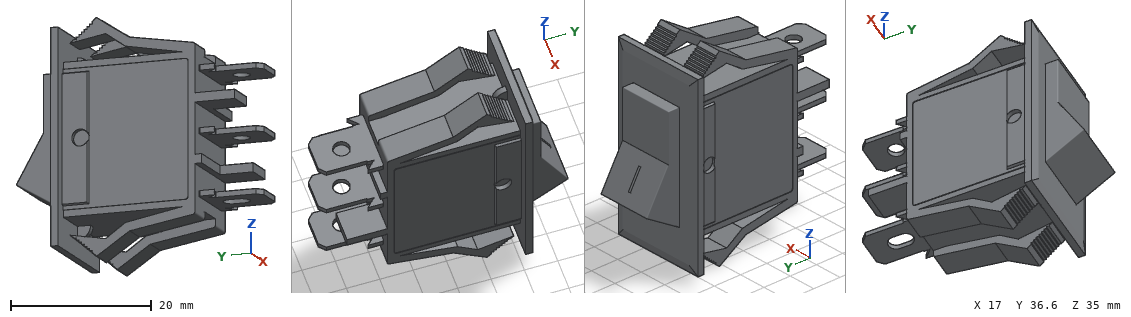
import cadquery as cq
import math


overall_length = 36.58
overall_height = 35.0

flange_width = 17.0
flange_height = 32.0
flange_thickness = 1.5
flange_rim_thickness = 1.1
flange_bevel_width = 1.43

body_width = 12.45
body_height = 22.68
body_depth = 19.95

panel_rise = 0.1
panel_height = 20.63
panel_length = 18.9
panel_corner_radius = 0.4

boss_rise = 0.48
boss_height = 19.55
boss_length = 3.95
boss_taper = 0.22
pivot_diameter = 2.5
pivot_y = -2.7
pivot_depth = 0.73

arm_gap = 4.4
arm_back_z = 12.55
arm_back_radius = 0.4
arm_outer_bend = (-10.05, 14.2)
arm_peak = (-5.0, overall_height / 2)
arm_tip = (-1.0, 14.05)
arm_inner_tip_bend = (-6.4, 15.0)
arm_inner_bend = (-9.4, 12.9)
arm_root = (-17.95, body_height / 2)
tooth_count = 7
tooth_pitch = 0.4
first_tooth_offset = 0.55

lug_diameter = 4.0
lug_radius = lug_diameter / 2
lug_width = 1.0

barrier_z = 4.5
barrier_thickness = 1.35
barrier_long_reach = 6.05
barrier_short_reach = 1.02
barrier_step_x = 1.3

rocker_width = 9.88
rocker_height = 20.4
rocker_flat_y = 3.55
rocker_crease_z = 1.6
rocker_tip_y = 7.7
rocker_tip_z = -5.65
rocker_edge_radius = 0.15

upper_face_angle = math.atan2(rocker_crease_z - rocker_tip_z, rocker_tip_y - rocker_flat_y)
lower_face_angle = math.atan2(rocker_tip_z + rocker_height / 2, rocker_tip_y)
tip_half_angle = (upper_face_angle + lower_face_angle) / 2
tip_tilt = (upper_face_angle - lower_face_angle) / 2
tip_rounding_loss = rocker_edge_radius * (math.cos(tip_tilt) / math.sin(tip_half_angle) - 1)
rocker_reach = rocker_tip_y - tip_rounding_loss

mark_length = 4.0
mark_width = 0.4
mark_depth = 0.3

terminal_pitch = 9.2
terminal_thickness = 0.8
terminal_end_y = rocker_reach - overall_length
blade_half_width = 3.15
blade_end_half_width = 2.2
blade_chamfer_y = -28.05
root_half_width = 4.72
root_chamfer = 0.2
barb_tip_y = -22.35
barb_notch_half_width = 3.33
barb_notch_y = -21.0
neck_y = -22.0
terminal_hole_diameter = 2.5
terminal_hole_y = -24.73
slot_length = 4.0


def prism_along_x(points, width, center_x=0):
    """Solid with a (y, z) outline, centred on center_x."""
    return cq.Workplane("YZ", origin=(center_x, 0, 0)).polyline(points).close().extrude(width / 2, both=True)


def both_sides(solid, plane):
    """The solid joined with its mirror image across the plane."""
    return solid.union(solid.mirror(plane))


def make_flange():
    rim = cq.Workplane("XZ").rect(flange_width, flange_height).extrude(-flange_rim_thickness)
    bevel = (
        cq.Workplane("XZ", origin=(0, flange_rim_thickness, 0))
        .rect(flange_width, flange_height)
        .workplane(offset=flange_rim_thickness - flange_thickness)
        .rect(flange_width - 2 * flange_bevel_width, flange_height - 2 * flange_bevel_width)
        .loft(ruled=True)
    )
    return rim.union(bevel)


def make_side_panels():
    """One slab through the body that stands proud on both sides."""
    return (
        cq.Workplane("XY")
        .box(body_width + 2 * panel_rise, panel_length, panel_height)
        .translate((0, -panel_length / 2, 0))
        .edges("|X and <Y")
        .fillet(panel_corner_radius)
    )


def make_boss():
    outer_length = boss_length - boss_taper
    outer_height = boss_height - 2 * boss_taper
    return (
        cq.Workplane("YZ", origin=(body_width / 2, 0, 0))
        .center(-boss_length / 2, 0)
        .rect(boss_length, boss_height)
        .workplane(offset=boss_rise)
        .center(boss_taper / 2, 0)
        .rect(outer_length, outer_height)
        .loft(ruled=True)
    )


def make_pivot_recess():
    return (
        cq.Workplane("YZ", origin=(body_width / 2 + boss_rise - pivot_depth, pivot_y, 0))
        .circle(pivot_diameter / 2)
        .extrude(pivot_depth)
    )


def arm_outline():
    """Upper arm outline, with stair-shaped teeth cut into the edge from the tip to the peak."""
    slope = (arm_peak[1] - arm_tip[1]) / (arm_peak[0] - arm_tip[0])
    tooth_rise = -slope * tooth_pitch
    y = arm_tip[0] - first_tooth_offset
    z = arm_tip[1] - slope * first_tooth_offset
    teeth = [(y, z)]
    for _ in range(tooth_count):
        y -= tooth_pitch
        teeth.append((y, z))
        z += tooth_rise
        teeth.append((y, z))
    back = [(-body_depth, body_height / 2), (-body_depth, arm_back_z)]
    inner_edge = [arm_inner_tip_bend, arm_inner_bend, arm_root]
    return back + [arm_outer_bend, arm_peak] + teeth[::-1] + [arm_tip] + inner_edge


def make_arms():
    arm_width = (body_width - arm_gap) / 2
    arm_x = (body_width + arm_gap) / 4
    arm = prism_along_x(arm_outline(), arm_width, arm_x)
    back_corner = cq.selectors.NearestToPointSelector((arm_x, -body_depth, arm_back_z))
    arm = arm.edges(back_corner).fillet(arm_back_radius)
    return both_sides(both_sides(arm, "YZ"), "XY")


def make_lugs():
    lug = (
        cq.Workplane("YZ", origin=(0, 0, body_height / 2))
        .lineTo(-lug_radius, 0)
        .radiusArc((0, lug_radius), lug_radius)
        .close()
        .extrude(lug_width / 2, both=True)
    )
    return both_sides(lug, "XY")


def make_barrier(z, long_side):
    """Barrier across the body, long on one side (-1 or +1 along X) of its step and short on the other."""
    half_width = body_width / 2
    return (
        cq.Workplane("XY", origin=(0, -body_depth, z))
        .moveTo(long_side * half_width, 0)
        .lineTo(long_side * half_width, -barrier_long_reach)
        .lineTo(long_side * barrier_step_x, -barrier_long_reach)
        .lineTo(long_side * barrier_step_x, -barrier_short_reach)
        .lineTo(-long_side * half_width, -barrier_short_reach)
        .lineTo(-long_side * half_width, 0)
        .close()
        .extrude(barrier_thickness / 2, both=True)
    )


def make_rocker_blank():
    """Rocker with every edge outside the flange rounded, apart from the inward crease."""
    outline = [
        (0, rocker_height / 2),
        (rocker_flat_y, rocker_height / 2),
        (rocker_flat_y, rocker_crease_z),
        (rocker_tip_y, rocker_tip_z),
        (0, -rocker_height / 2),
    ]
    top_corner = outline[1]
    tip_corner = outline[3]
    blank = prism_along_x(outline, rocker_width)
    for y, z in (top_corner, tip_corner):
        blank = blank.edges(cq.selectors.NearestToPointSelector((0, y, z))).fillet(rocker_edge_radius)
    return blank.faces("<X or >X").edges("not <Y").fillet(rocker_edge_radius)


def make_mark():
    center = (0, (rocker_flat_y + rocker_tip_y) / 2, (rocker_crease_z + rocker_tip_z) / 2)
    rise = rocker_tip_y - rocker_flat_y
    drop = rocker_crease_z - rocker_tip_z
    face = cq.Plane(origin=center, xDir=(1, 0, 0), normal=(0, drop, rise))
    return cq.Workplane(face).rect(mark_width, mark_length).extrude(-mark_depth)


def make_housing(rocker_blank):
    body = cq.Workplane("XY").box(body_width, body_depth, body_height).translate((0, -body_depth / 2, 0))
    housing = body.union(make_side_panels()).union(both_sides(make_boss(), "YZ"))
    housing = housing.union(make_flange()).union(make_arms()).union(make_lugs())
    housing = housing.union(make_barrier(barrier_z, -1)).union(make_barrier(-barrier_z, 1))
    return housing.cut(both_sides(make_pivot_recess(), "YZ")).cut(rocker_blank)


def make_terminal(z, hole_length):
    """Flat blade with a barbed root; the hole runs on towards the root when longer than it is wide."""
    right_side = [
        (root_half_width - root_chamfer, -body_depth),
        (root_half_width, -body_depth - root_chamfer),
        (root_half_width, barb_tip_y),
        (barb_notch_half_width, barb_notch_y),
        (barb_notch_half_width, neck_y),
        (blade_half_width, neck_y),
        (blade_half_width, blade_chamfer_y),
        (blade_end_half_width, terminal_end_y),
    ]
    left_side = [(-x, y) for x, y in reversed(right_side)]
    level = cq.Workplane("XY", origin=(0, 0, z))
    blade = level.polyline(right_side + left_side).close().extrude(terminal_thickness / 2, both=True)
    stretch = hole_length - terminal_hole_diameter
    if stretch > 0:
        hole = level.center(0, terminal_hole_y + stretch / 2).slot2D(hole_length, terminal_hole_diameter, 90)
    else:
        hole = level.center(0, terminal_hole_y).circle(terminal_hole_diameter / 2)
    return blade.cut(hole.extrude(terminal_thickness, both=True))


mark = make_mark()
rocker_blank = make_rocker_blank()
rocker = rocker_blank.cut(mark)
housing = make_housing(rocker_blank)
terminals = []
hole_lengths = [slot_length, terminal_hole_diameter, terminal_hole_diameter]
for row, hole_length in enumerate(hole_lengths):
    terminals.append(make_terminal((row - 1) * terminal_pitch, hole_length))

terminal_solids = [terminal.val() for terminal in terminals]
result = cq.Compound.makeCompound([housing.val(), rocker.val(), mark.val(), *terminal_solids])